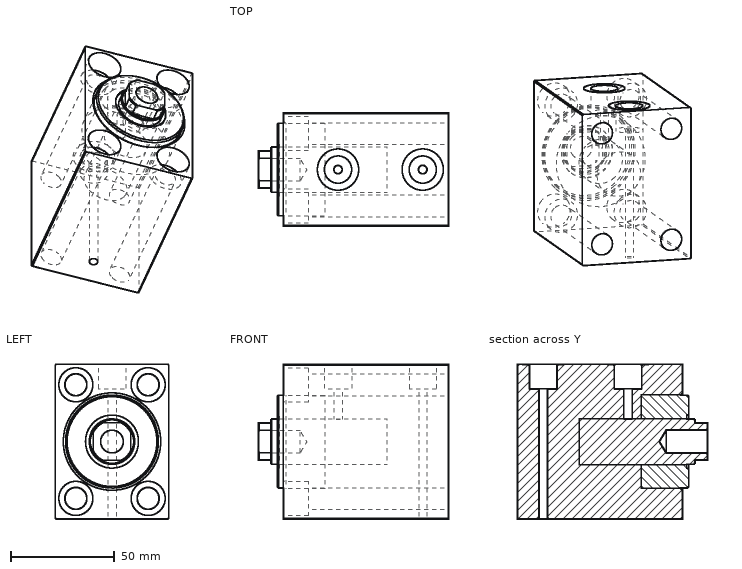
import cadquery as cq
import math

block_length = 80.0
block_width = 55.0
block_height = 75.0
block_edge_chamfer = 0.5

bolt_hole_diameter = 10.5
bolt_head_diameter = 16.5
bolt_head_depth = 12.0
bolt_spacing_y = 35.0
bolt_spacing_z = 55.0

front_port_x = 26.5
rear_port_x = 67.5
port_thread_diameter = 13.2
port_thread_depth = 12.0
port_spotface_diameter = 20.0
port_spotface_depth = 0.1
port_passage_diameter = 4.0

gland_diameter = 45.0
gland_protrusion = 3.0
gland_insertion = 20.0
gland_chamfer = 0.75
gland_recess_diameter = 25.7
gland_recess_depth = 1.0
gland_seat_chamfer = 1.1

rod_diameter = 22.0
rod_chamfer = 0.5
rod_shoulder_protrusion = 6.0
rod_insertion = 50.0
rod_tip_protrusion = 12.0
rod_tip_diameter = 21.0
rod_tip_flats = 18.0
rod_tip_chamfer = 0.4
rod_thread_diameter = 11.0
rod_thread_depth = 20.0
drill_point_angle = 118.0

block_top = block_height / 2


def cylinder_x(diameter, start_x, end_x):
    """Cylinder on the X axis between two X positions."""
    return cq.Workplane("YZ", origin=(start_x, 0, 0)).circle(diameter / 2).extrude(end_x - start_x)


def drill_down(x, diameter, start_z, end_z):
    """Vertical cylinder at a position along the block, from one height down to another."""
    return cq.Workplane("XY", origin=(x, 0, start_z)).circle(diameter / 2).extrude(end_z - start_z)


def port_cutter(x, passage_end_z):
    """Spotface, threaded bore and oil passage of one port."""
    spotface = drill_down(x, port_spotface_diameter, block_top, block_top - port_spotface_depth)
    thread = drill_down(x, port_thread_diameter, block_top, block_top - port_thread_depth)
    passage = drill_down(x, port_passage_diameter, block_top, passage_end_z)
    return spotface.union(thread).union(passage)


def make_housing():
    block = (
        cq.Workplane("XY")
        .box(block_length, block_width, block_height)
        .translate((block_length / 2, 0, 0))
        .edges("|X")
        .chamfer(block_edge_chamfer)
    )
    block = (
        block.faces("<X")
        .workplane(centerOption="CenterOfBoundBox")
        .rect(bolt_spacing_y, bolt_spacing_z, forConstruction=True)
        .vertices()
        .cboreHole(bolt_hole_diameter, bolt_head_diameter, bolt_head_depth)
    )

    block = block.cut(port_cutter(front_port_x, 0))
    block = block.cut(port_cutter(rear_port_x, -block_top))

    gland_seat = cylinder_x(gland_diameter, 0, gland_insertion)
    mouth_diameter = gland_diameter + 2 * gland_seat_chamfer
    seat_mouth = (
        cq.Workplane("YZ")
        .circle(mouth_diameter / 2)
        .workplane(offset=gland_seat_chamfer)
        .circle(gland_diameter / 2)
        .loft()
    )
    rod_bore = cylinder_x(rod_diameter, 0, rod_insertion)
    return block.cut(gland_seat).cut(seat_mouth).cut(rod_bore)


def make_gland():
    gland = cylinder_x(gland_diameter, -gland_protrusion, gland_insertion)
    gland = gland.faces("<X").chamfer(gland_chamfer)
    recess = cylinder_x(gland_recess_diameter, -gland_protrusion, gland_recess_depth - gland_protrusion)
    rod_bore = cylinder_x(rod_diameter, -gland_protrusion, gland_insertion)
    return gland.cut(recess).cut(rod_bore)


def make_rod():
    shank = cylinder_x(rod_diameter, -rod_shoulder_protrusion, rod_insertion)
    shank = shank.faces("<X").chamfer(rod_chamfer)

    tip = cylinder_x(rod_tip_diameter, -rod_tip_protrusion, -rod_shoulder_protrusion)
    tip = tip.faces("<X").chamfer(rod_tip_chamfer)
    wrench_square = (
        cq.Workplane("YZ", origin=(-rod_tip_protrusion, 0, 0))
        .rect(rod_tip_flats, rod_tip_flats)
        .extrude(rod_tip_protrusion - rod_shoulder_protrusion)
    )
    rod = shank.union(tip.intersect(wrench_square))

    thread_radius = rod_thread_diameter / 2
    point_length = thread_radius / math.tan(math.radians(drill_point_angle / 2))
    thread_end_x = rod_thread_depth - rod_tip_protrusion
    thread_hole = (
        cq.Workplane("XY")
        .moveTo(-rod_tip_protrusion, 0)
        .lineTo(-rod_tip_protrusion, thread_radius)
        .lineTo(thread_end_x, thread_radius)
        .lineTo(thread_end_x + point_length, 0)
        .close()
        .revolve(360, (0, 0, 0), (1, 0, 0))
    )
    return rod.cut(thread_hole)


housing = make_housing()
gland = make_gland()
rod = make_rod()

result = cq.Compound.makeCompound([housing.val(), gland.val(), rod.val()])